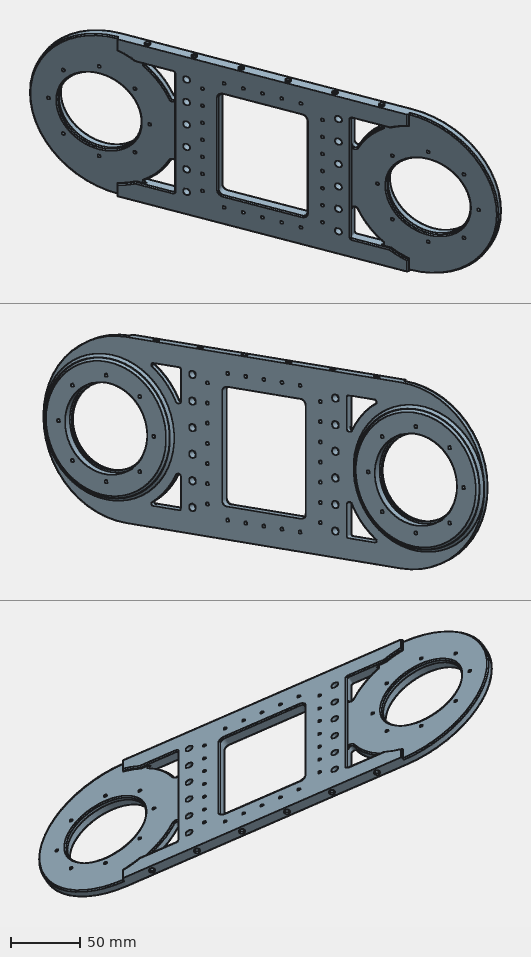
import cadquery as cq
import math

LENGTH = 370.0
END_RADIUS = 70.0
END_CENTER_X = LENGTH / 2 - END_RADIUS
TOTAL_THICKNESS = 12.0
PLATE_THICKNESS = 7.8
EDGE_CHAMFER = 1.0
BEVEL_ANGLE = 45

SEAT_X = 130.0
FRONT_BORE_RADIUS = 33.0
REAR_BORE_RADIUS = 34.5
REAR_BORE_START = 5.0
BOSS_BASE_RADIUS = 54.8
BOSS_TAPER = 45
BOSS_STEP_Y = 10.0
BOSS_LEDGE = 0.5

RECESS_DEPTH = 2.0
RECESS_RADIUS = 61.0
LOBE_RADIUS = 62.5
FRAME_INNER_X = 69.5
FRAME_OUTER_X = 94.5
FRAME_HALF_HEIGHT = 53.5
FRAME_FILLET = 1.5
TIP_FILLET = 2.2

WINDOW_WIDTH = 70.0
WINDOW_HEIGHT = 90.0
WINDOW_FILLET = 4.0

SMALL_HOLE_DIAMETER = 2.4
SMALL_HOLE_PITCH = 15.0
SMALL_COLUMN_X = 47.5
SMALL_COLUMN_COUNT = 7
SMALL_ROW_Z = 55.0
SMALL_ROW_COUNT = 5
SEAT_HOLE_COUNT = 8
SEAT_HOLE_CIRCLE_RADIUS = 40.0
LARGE_HOLE_DIAMETER = 5.5
LARGE_HOLE_PITCH = 20.0
LARGE_COLUMN_X = 60.0
LARGE_COLUMN_COUNT = 6

EDGE_HOLE_DIAMETER = 2.5
EDGE_SINK_DIAMETER = 4.5
EDGE_SINK_ANGLE = 90
EDGE_HOLE_DEPTH = 10.0
EDGE_HOLE_PITCH = 37.0
EDGE_HOLE_COUNT = 6

SIDES = (-1, 1)


def facing_back(y=0.0):
    """Sketch plane at depth y that extrudes toward +Y, with local x along +X."""
    return cq.Workplane("XZ", origin=(0, y, 0)).transformed(rotate=(180, 0, 0))


def centered_row(count, pitch):
    """Evenly spaced positions, symmetric about zero."""
    return [(i - (count - 1) / 2) * pitch for i in range(count)]


def half_space(axis):
    """Block that covers the positive side of the X or Z axis."""
    offset = (LENGTH / 2, 0, 0) if axis == "X" else (0, 0, LENGTH / 2)
    return cq.Workplane().box(LENGTH, LENGTH, LENGTH).translate(offset)


def disc(radius, start, end):
    """Cylinder on the right seat axis between two depths."""
    return facing_back(start).center(SEAT_X, 0).circle(radius).extrude(end - start)


def block(inner_x, outer_x, half_height):
    """Full-thickness block on the right, between two distances from the middle of the plate."""
    width = outer_x - inner_x
    return (
        facing_back()
        .center(inner_x + width / 2, 0)
        .rect(width, 2 * half_height)
        .extrude(PLATE_THICKNESS)
    )


def rim_flare(cutter):
    """Bevel around the front outline of a cutter."""
    start = cutter.val().BoundingBox().ymin
    outline = cutter.faces("<Y").wires().toPending().offset2D(EDGE_CHAMFER).val()
    return facing_back(start).add(outline).toPending().extrude(EDGE_CHAMFER, taper=BEVEL_ANGLE)


def stadium_plate():
    """Stadium plate, thinner at its rounded ends, with bevelled front edges."""
    plate = (
        facing_back(RECESS_DEPTH)
        .slot2D(LENGTH, 2 * END_RADIUS)
        .extrude(PLATE_THICKNESS - RECESS_DEPTH)
        .faces("<Y")
        .edges()
        .chamfer(EDGE_CHAMFER)
    )
    raised_middle = (
        facing_back()
        .rect(2 * END_CENTER_X, 2 * END_RADIUS)
        .extrude(RECESS_DEPTH + EDGE_CHAMFER)
        .faces("<Y")
        .edges("|Z")
        .chamfer(EDGE_CHAMFER)
    )
    return plate.union(raised_middle)


def boss_tier(base_y, base_radius, height):
    return (
        facing_back(base_y)
        .center(SEAT_X, 0)
        .circle(base_radius)
        .extrude(height, taper=BOSS_TAPER)
    )


def boss():
    """Two conical tiers behind a seat, separated by a narrow ledge."""
    lower_height = BOSS_STEP_Y - PLATE_THICKNESS
    narrowing = lower_height * math.tan(math.radians(BOSS_TAPER))
    upper_radius = BOSS_BASE_RADIUS - narrowing - BOSS_LEDGE
    lower = boss_tier(PLATE_THICKNESS, BOSS_BASE_RADIUS, lower_height)
    upper = boss_tier(BOSS_STEP_Y, upper_radius, TOTAL_THICKNESS - BOSS_STEP_Y)
    return lower.union(upper)


def recess_frame():
    """Rounded rectangle that bounds the recess and the corner openings toward the middle."""
    return block(FRAME_INNER_X, SEAT_X, FRAME_HALF_HEIGHT).edges("|Y").fillet(FRAME_FILLET)


def recess():
    """Seat disc joined to the rectangle that frames the corner openings, with a bevelled rim."""
    outside = block(FRAME_INNER_X, LENGTH, LENGTH)
    layer = facing_back().rect(LENGTH, LENGTH).extrude(RECESS_DEPTH)
    pocket = disc(RECESS_RADIUS, 0, RECESS_DEPTH).intersect(outside).union(recess_frame().intersect(layer))
    return pocket.union(rim_flare(pocket))


def corner_openings():
    """Mirrored pair of openings between the frame and the lobe, bevelled along the lobe only."""
    frame = block(FRAME_INNER_X, FRAME_OUTER_X, FRAME_HALF_HEIGHT).edges("|Y").fillet(FRAME_FILLET)
    opening = (
        frame.intersect(half_space("Z"))
        .cut(disc(LOBE_RADIUS, 0, PLATE_THICKNESS))
        .edges("|Y")
        .edges("<Z")
        .fillet(TIP_FILLET)
    )
    below_floor = facing_back(RECESS_DEPTH).rect(LENGTH, LENGTH).extrude(PLATE_THICKNESS)
    lobe_bevel = rim_flare(opening.intersect(below_floor)).intersect(recess_frame())
    opening = opening.union(lobe_bevel)
    return opening.union(opening.mirror("XY"))


def seat_bore():
    """Bore that steps wider toward the back, with a bevel at the recess floor."""
    front = disc(FRONT_BORE_RADIUS, RECESS_DEPTH, TOTAL_THICKNESS)
    rear = disc(REAR_BORE_RADIUS, REAR_BORE_START, TOTAL_THICKNESS)
    return front.union(rim_flare(front)).union(rear)


def center_window():
    window = (
        facing_back()
        .rect(WINDOW_WIDTH, WINDOW_HEIGHT)
        .extrude(PLATE_THICKNESS)
        .edges("|Y")
        .fillet(WINDOW_FILLET)
    )
    return window.union(rim_flare(window))


def small_hole_points():
    """Columns and rows around the center window, and a circle around each seat."""
    points = []
    for side in SIDES:
        points += [(side * SMALL_COLUMN_X, z) for z in centered_row(SMALL_COLUMN_COUNT, SMALL_HOLE_PITCH)]
        points += [(x, side * SMALL_ROW_Z) for x in centered_row(SMALL_ROW_COUNT, SMALL_HOLE_PITCH)]
        for i in range(SEAT_HOLE_COUNT):
            angle = 2 * math.pi * i / SEAT_HOLE_COUNT
            x = side * SEAT_X + SEAT_HOLE_CIRCLE_RADIUS * math.cos(angle)
            points.append((x, SEAT_HOLE_CIRCLE_RADIUS * math.sin(angle)))
    return points


def large_hole_points():
    column = centered_row(LARGE_COLUMN_COUNT, LARGE_HOLE_PITCH)
    return [(side * LARGE_COLUMN_X, z) for side in SIDES for z in column]


def through_holes(points, diameter):
    return facing_back().pushPoints(points).circle(diameter / 2).extrude(TOTAL_THICKNESS)


def edge_holes(side):
    """Row of countersunk blind holes in the top (+1) or bottom (-1) edge."""
    sink_depth = (EDGE_SINK_DIAMETER / 2) / math.tan(math.radians(EDGE_SINK_ANGLE / 2))
    points = [(x, PLATE_THICKNESS / 2) for x in centered_row(EDGE_HOLE_COUNT, EDGE_HOLE_PITCH)]
    edge = cq.Workplane("XY", origin=(0, 0, side * END_RADIUS)).pushPoints(points)
    drills = edge.circle(EDGE_HOLE_DIAMETER / 2).extrude(-side * EDGE_HOLE_DEPTH)
    inward = cq.Vector(0, 0, -side)
    sink = cq.Solid.makeCone(EDGE_SINK_DIAMETER / 2, 0, sink_depth, dir=inward)
    sinks = edge.eachpoint(lambda place: sink.moved(place))
    return drills.union(sinks)


right = stadium_plate().union(boss())
right = right.cut(recess()).cut(corner_openings()).cut(seat_bore())
right = right.intersect(half_space("X"))
result = right.union(right.mirror("YZ"))

for side in SIDES:
    result = result.cut(edge_holes(side))
result = result.cut(center_window())
result = result.cut(through_holes(small_hole_points(), SMALL_HOLE_DIAMETER))
result = result.cut(through_holes(large_hole_points(), LARGE_HOLE_DIAMETER))